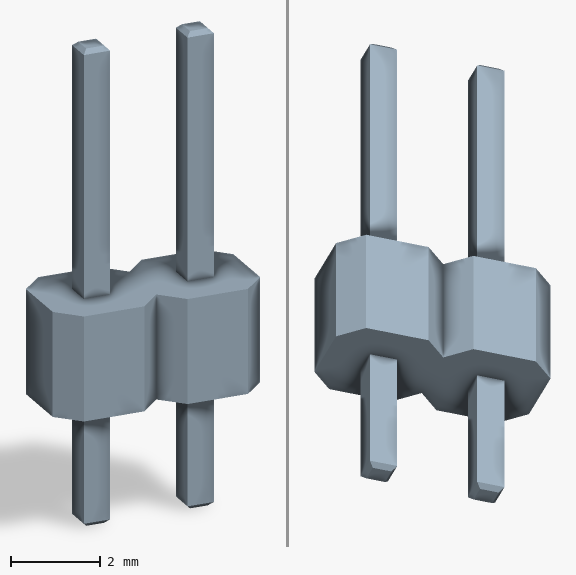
import cadquery as cq

pitch = 2.54
block_height = 2.54
block_corner = 0.53
pin_length = 11.54
pin_width = 0.65
pin_tail = 3.0
tip_inset = 0.1
tip_length = 0.1
contact_count = 2


def make_block():
    """Square plastic block with its four upright corners cut off."""
    block = cq.Workplane("XY").box(pitch, pitch, block_height, centered=(True, True, False))
    return block.edges("|Z").chamfer(block_corner)


def make_pin():
    """Square pin with both ends tapered, running through the block."""
    pin = (
        cq.Workplane("XY", origin=(0, 0, -pin_tail))
        .box(pin_width, pin_width, pin_length, centered=(True, True, False))
    )
    upper_tip = pin.faces(">Z").chamfer(tip_length, tip_inset)
    return upper_tip.faces("<Z").chamfer(tip_length, tip_inset)


def make_contact_module(y_center):
    """One header position: a block and its pin formed as a single body."""
    return make_block().union(make_pin()).translate((0, y_center, 0))


contact_modules = []
for index in range(contact_count):
    y_center = (index - (contact_count - 1) / 2) * pitch
    contact_modules.append(make_contact_module(y_center).val())

result = cq.Compound.makeCompound(contact_modules)